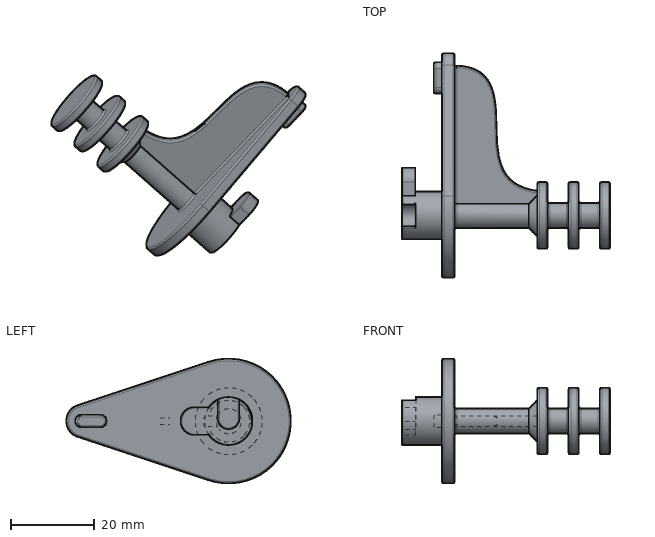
import cadquery as cq
import math

plate_thickness = 3.0
plate_radius = 15.0
tip_radius = 4.0
plate_length = 54.0
tip_center = plate_length - plate_radius - tip_radius
edge_round = 0.5

stud_length = 7.55
stud_width = 3.0
stud_height = 2.0
stud_center = 33.05

boss_radius = 5.8
boss_height = 9.6
key_depth = 3.25
key_half_width = 3.35
key_reach = 11.5
key_round = 0.2

slot_half_width = 2.55
slot_drop = 1.95
slot_depth = 3.35
floor_round = 0.3
mouth_round = 0.25
slot_clearance = 0.55

shaft_radius = 3.0
flange_radius = 8.05
flange_thickness = 2.5
flange_pitch = 7.5
flange_count = 3
overall_length = 50.0
cone_height = 2.0
shaft_end = overall_length - boss_height
first_flange = shaft_end - flange_thickness - (flange_count - 1) * flange_pitch

web_thickness = 2.5
web_top = 36.0
web_foot = 5.8
web_edge_round = 0.5
web_waist = (13.3, 17.3)
web_waist_slope = 0.08
web_foot_slope = 0.1
shoulder_pull = 11.9
upper_waist_pull = 7.3
lower_waist_pull = 7.4
foot_pull = 7.65


def disc(x_start, length, radius):
    """Cylinder about the X axis."""
    return cq.Workplane("YZ", origin=(x_start, 0, 0)).circle(radius).extrude(length)


def make_plate():
    """Teardrop plate with both rims rounded."""
    lean = math.asin((plate_radius - tip_radius) / tip_center)
    big_y = plate_radius * math.sin(lean)
    big_z = plate_radius * math.cos(lean)
    tip_y = tip_center + tip_radius * math.sin(lean)
    tip_z = tip_radius * math.cos(lean)
    return (
        cq.Workplane("YZ")
        .moveTo(big_y, big_z)
        .threePointArc((-plate_radius, 0), (big_y, -big_z))
        .lineTo(tip_y, -tip_z)
        .threePointArc((tip_center + tip_radius, 0), (tip_y, tip_z))
        .close()
        .extrude(plate_thickness)
        .faces("<X or >X").edges().fillet(edge_round)
    )


def make_stud():
    """Round-ended stud standing on the front of the plate."""
    return (
        cq.Workplane("YZ", origin=(0, stud_center, 0))
        .slot2D(stud_length, stud_width)
        .extrude(-stud_height)
        .faces("<X").edges().fillet(edge_round)
    )


def make_slot():
    """Cutter for the boss slot: curved bottom, rounded floor and a mouth rounded into the boss wall."""
    round_y = slot_half_width + mouth_round
    round_z = math.sqrt((boss_radius - mouth_round) ** 2 - round_y**2)
    lip_scale = boss_radius / (boss_radius - mouth_round)
    lip_y = round_y * lip_scale
    lip_z = round_z * lip_scale
    half_turn = (math.pi + math.atan2(round_z, round_y)) / 2
    mid_y = round_y + mouth_round * math.cos(half_turn)
    mid_z = round_z + mouth_round * math.sin(half_turn)
    top_z = boss_radius + slot_clearance
    return (
        cq.Workplane("YZ", origin=(-boss_height, 0, 0))
        .moveTo(-slot_half_width, 0)
        .threePointArc((0, -slot_drop), (slot_half_width, 0))
        .lineTo(slot_half_width, round_z)
        .threePointArc((mid_y, mid_z), (lip_y, lip_z))
        .lineTo(lip_y, top_z)
        .lineTo(-lip_y, top_z)
        .lineTo(-lip_y, lip_z)
        .threePointArc((-mid_y, mid_z), (-slot_half_width, round_z))
        .close()
        .extrude(slot_depth)
        .faces(">X").edges("not >Z").fillet(floor_round)
    )


def make_boss():
    """Round boss with a round-ended side key and an open slot in its face."""
    key_center = key_reach - key_half_width
    key = (
        cq.Workplane("YZ", origin=(-boss_height, 0, 0))
        .moveTo(0, key_half_width)
        .lineTo(key_center, key_half_width)
        .threePointArc((key_reach, 0), (key_center, -key_half_width))
        .lineTo(0, -key_half_width)
        .close()
        .extrude(key_depth)
        .faces(">X").edges(">Y").fillet(key_round)
    )
    boss = disc(-boss_height, boss_height, boss_radius).union(key)
    boss = boss.faces("<X").edges().fillet(key_round)
    return boss.cut(make_slot())


def make_flange(index):
    """Flange disc with both rims rounded."""
    flange = disc(first_flange + index * flange_pitch, flange_thickness, flange_radius)
    return flange.edges().fillet(edge_round)


def fillet_profile(x_start, direction, half_thickness):
    """XY section whose concave side blends a member of given half thickness into a face."""
    inner = half_thickness - edge_round
    outer = half_thickness + edge_round
    x_end = x_start + direction * edge_round
    bulge = edge_round * (1 - math.sqrt(0.5))
    return (
        cq.Workplane("XY")
        .moveTo(x_start, inner)
        .lineTo(x_start, outer)
        .threePointArc((x_start + direction * bulge, half_thickness + bulge), (x_end, half_thickness))
        .lineTo(x_end, inner)
        .close()
    )


def make_root(x_start, direction):
    """Concave ring that blends the shaft into a flat face at x_start."""
    section = fillet_profile(x_start, direction, shaft_radius)
    return section.revolve(360, (0, 0, 0), (1, 0, 0))


def make_spindle():
    """Shaft with a cone under the first flange and blended flange roots."""
    spindle = disc(0, shaft_end, shaft_radius)
    cone = (
        cq.Workplane("YZ", origin=(first_flange, 0, 0))
        .circle(shaft_radius + cone_height)
        .workplane(offset=-cone_height)
        .circle(shaft_radius)
        .loft()
    )
    spindle = spindle.union(cone).union(make_root(plate_thickness, 1))
    for index in range(flange_count):
        flange_start = first_flange + index * flange_pitch
        spindle = spindle.union(make_flange(index))
        if index > 0:
            spindle = spindle.union(make_root(flange_start, -1))
        if index < flange_count - 1:
            spindle = spindle.union(make_root(flange_start + flange_thickness, 1))
    return spindle


def make_web():
    """Curved web with rounded outer edges and a flared foot on the plate."""
    web_end = first_flange + flange_thickness / 2
    waist_x, waist_y = web_waist
    shoulder = (plate_thickness, web_top)
    upper_curve = [
        shoulder,
        (plate_thickness + shoulder_pull, web_top),
        (waist_x - web_waist_slope * upper_waist_pull, waist_y + upper_waist_pull),
        web_waist,
    ]
    lower_curve = [
        web_waist,
        (waist_x + web_waist_slope * lower_waist_pull, waist_y - lower_waist_pull),
        (web_end - foot_pull, web_foot + web_foot_slope * foot_pull),
        (web_end, web_foot),
    ]
    outline = (
        cq.Workplane("XY", origin=(0, 0, -web_thickness / 2))
        .moveTo(plate_thickness / 2, 0)
        .lineTo(plate_thickness / 2, web_top)
        .lineTo(*shoulder)
        .bezier(upper_curve)
        .bezier(lower_curve)
        .lineTo(web_end, 0)
        .close()
        .extrude(web_thickness)
    )
    curved_face = cq.selectors.BoxSelector((5.4, 2.7, -0.55), (21.6, 43.2, 0.55))
    web = outline.faces(curved_face).edges("not |Z").fillet(web_edge_round)
    foot = (
        fillet_profile(plate_thickness, 1, web_thickness / 2)
        .extrude(web_top)
        .rotate((0, 0, 0), (1, 0, 0), -90)
    )
    return web.union(foot).union(foot.mirror("XY"))


result = make_plate().union(make_stud()).union(make_boss()).union(make_spindle()).union(make_web())